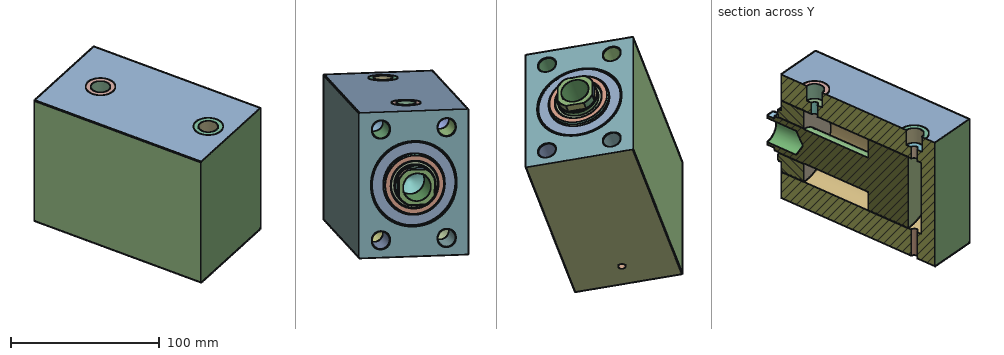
import cadquery as cq
import math


block_length = 133.0
block_width = 75.0
block_height = 100.0
edge_chamfer = 0.5

bore_diameter = 57.0
end_wall = 12.0
bore_depth = block_length - end_wall
bore_chamfer = 1.0

mount_spacing_y = 45.0
mount_spacing_z = 76.0
mount_diameter = 12.0
mount_depth = 25.0
mount_chamfer = 0.4

front_port_x = 29.0
rear_port_x = 115.0
port_diameter = 13.2
port_depth = 12.0
spotface_diameter = 20.0
spotface_depth = 0.1
oil_way_diameter = 5.0

gland_length = 20.0
collar_diameter = 42.0
collar_length = 3.0
collar_chamfer = 1.0
mouth_diameter = 33.0
mouth_chamfer = 0.6

rod_diameter = 28.0
rod_chamfer = 0.5
rod_reach = 6.0
tip_diameter = 27.0
tip_length = 6.0
tip_flats = 24.0
rod_thread_diameter = 19.0
rod_thread_depth = 25.0
piston_length = 35.0
piston_back_x = 110.0

drill_point_angle = 118.0

rod_shoulder_x = -rod_reach
tip_x = rod_shoulder_x - tip_length


def revolve_about_x(profile):
    """Solid of revolution about X from an (x, radius) outline."""
    return cq.Workplane("XZ").polyline(profile).close().revolve(360, (0, 0, 0), (1, 0, 0))


def drilled_hole(diameter, start_x, depth):
    """Blind hole along X with a conical drill point."""
    radius = diameter / 2
    point_length = radius / math.tan(math.radians(drill_point_angle / 2))
    return revolve_about_x([
        (start_x, 0),
        (start_x, radius),
        (start_x + depth, radius),
        (start_x + depth + point_length, 0),
    ])


def countersink(diameter, chamfer):
    """Cone that chamfers the mouth of a hole in the front face."""
    radius = diameter / 2
    return revolve_about_x([(0, 0), (0, radius + chamfer), (chamfer, radius), (chamfer, 0)])


def port_cutter(x, oil_way_depth):
    """Spot-faced port with a narrow oil way below it, sunk from the top face."""
    top = cq.Workplane("XY", origin=(x, 0, block_height / 2))
    cutter = top.circle(spotface_diameter / 2).extrude(-spotface_depth)
    cutter = cutter.union(top.circle(port_diameter / 2).extrude(-port_depth))
    return cutter.union(top.circle(oil_way_diameter / 2).extrude(-oil_way_depth))


def make_housing():
    block = (
        cq.Workplane("XY")
        .box(block_length, block_width, block_height)
        .translate((block_length / 2, 0, 0))
        .edges("|X")
        .chamfer(edge_chamfer)
    )
    bore = cq.Workplane("YZ").circle(bore_diameter / 2).extrude(bore_depth)
    block = block.cut(bore).cut(countersink(bore_diameter, bore_chamfer))

    mount = drilled_hole(mount_diameter, 0, mount_depth).union(countersink(mount_diameter, mount_chamfer))
    for side_y in (-1, 1):
        for side_z in (-1, 1):
            center = (0, side_y * mount_spacing_y / 2, side_z * mount_spacing_z / 2)
            block = block.cut(mount.translate(center))

    block = block.cut(port_cutter(front_port_x, block_height / 2))
    return block.cut(port_cutter(rear_port_x, block_height))


def make_gland():
    collar_radius = collar_diameter / 2
    rod_radius = rod_diameter / 2
    mouth_radius = mouth_diameter / 2
    return revolve_about_x([
        (-collar_length, mouth_radius),
        (-collar_length, collar_radius - collar_chamfer),
        (-collar_length + collar_chamfer, collar_radius),
        (0, collar_radius),
        (0, bore_diameter / 2),
        (gland_length, bore_diameter / 2),
        (gland_length, rod_radius),
        (-collar_length + mouth_chamfer, rod_radius),
        (-collar_length + mouth_chamfer, mouth_radius - mouth_chamfer),
    ])


def make_piston_rod():
    rod_radius = rod_diameter / 2
    piston_radius = bore_diameter / 2
    piston_front_x = piston_back_x - piston_length
    rod = revolve_about_x([
        (rod_shoulder_x, 0),
        (rod_shoulder_x, rod_radius - rod_chamfer),
        (rod_shoulder_x + rod_chamfer, rod_radius),
        (piston_front_x, rod_radius),
        (piston_front_x, piston_radius),
        (piston_back_x, piston_radius),
        (piston_back_x, 0),
    ])
    tip = cq.Workplane("YZ", origin=(tip_x, 0, 0)).circle(tip_diameter / 2).extrude(tip_length)
    flats = cq.Workplane("YZ", origin=(tip_x, 0, 0)).rect(tip_flats, tip_flats).extrude(tip_length)
    rod = rod.union(tip.intersect(flats))
    return rod.cut(drilled_hole(rod_thread_diameter, tip_x, rod_thread_depth))


housing = make_housing()
gland = make_gland()
piston_rod = make_piston_rod()

result = cq.Compound.makeCompound([housing.val(), gland.val(), piston_rod.val()])